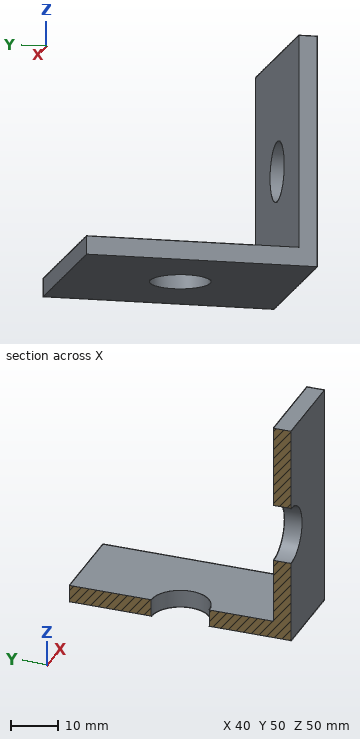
import cadquery as cq

width = 40.0
leg_length = 50.0
thickness = 4.0
hole_diameter = 13.0
hole_offset = leg_length / 2

bracket = (
    cq.Workplane("YZ")
    .polyline([
        (0, 0),
        (leg_length, 0),
        (leg_length, thickness),
        (thickness, thickness),
        (thickness, leg_length),
        (0, leg_length),
    ])
    .close()
    .extrude(width / 2, both=True)
)

base_hole = (
    cq.Workplane("XY")
    .center(0, hole_offset)
    .circle(hole_diameter / 2)
    .extrude(thickness)
)

upright_hole = (
    cq.Workplane("XZ")
    .center(0, hole_offset)
    .circle(hole_diameter / 2)
    .extrude(-thickness)
)

result = bracket.cut(base_hole).cut(upright_hole)